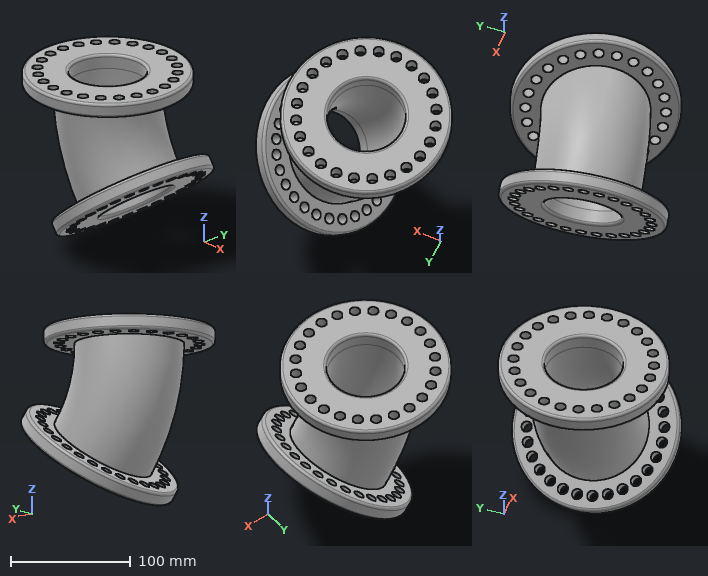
import cadquery as cq

bend_angle = 38.0
bend_radius = 138.2
pipe_diameter = 91.8
bore_diameter = 65.8

flange_diameter = 143.5
flange_thickness = 12.8
edge_radius = 2.3

upper_bolt_count = 24
lower_bolt_count = 28
bolt_circle_diameter = 117.5
bolt_hole_diameter = 8.7


def make_bend(diameter):
    """Round bar swept along the bend, from the origin downwards."""
    axis_start = (bend_radius, 1.6)
    axis_end = (bend_radius, -1.6)
    return (
        cq.Workplane("XY")
        .circle(diameter / 2)
        .revolve(bend_angle, axis_start, axis_end)
    )


def make_flange(bolt_count):
    """Flange standing on the XY plane, with its outer face at the top."""
    disc = (
        cq.Workplane("XY")
        .circle(flange_diameter / 2)
        .extrude(flange_thickness)
        .edges()
        .fillet(edge_radius)
    )
    ring = (
        disc.faces(">Z")
        .workplane()
        .hole(bore_diameter)
        .faces(">Z")
        .edges(cq.selectors.RadiusNthSelector(0))
        .fillet(edge_radius)
    )
    return (
        ring.faces(">Z")
        .workplane()
        .polarArray(bolt_circle_diameter / 2, 0, 360, bolt_count)
        .hole(bolt_hole_diameter)
    )


pipe = make_bend(pipe_diameter).cut(make_bend(bore_diameter))

upper_flange = make_flange(upper_bolt_count)
lower_flange = (
    make_flange(lower_bolt_count)
    .mirror("XY")
    .rotate((bend_radius, 0, 0), (bend_radius, 1, 0), -bend_angle)
)

result = pipe.union(upper_flange).union(lower_flange)